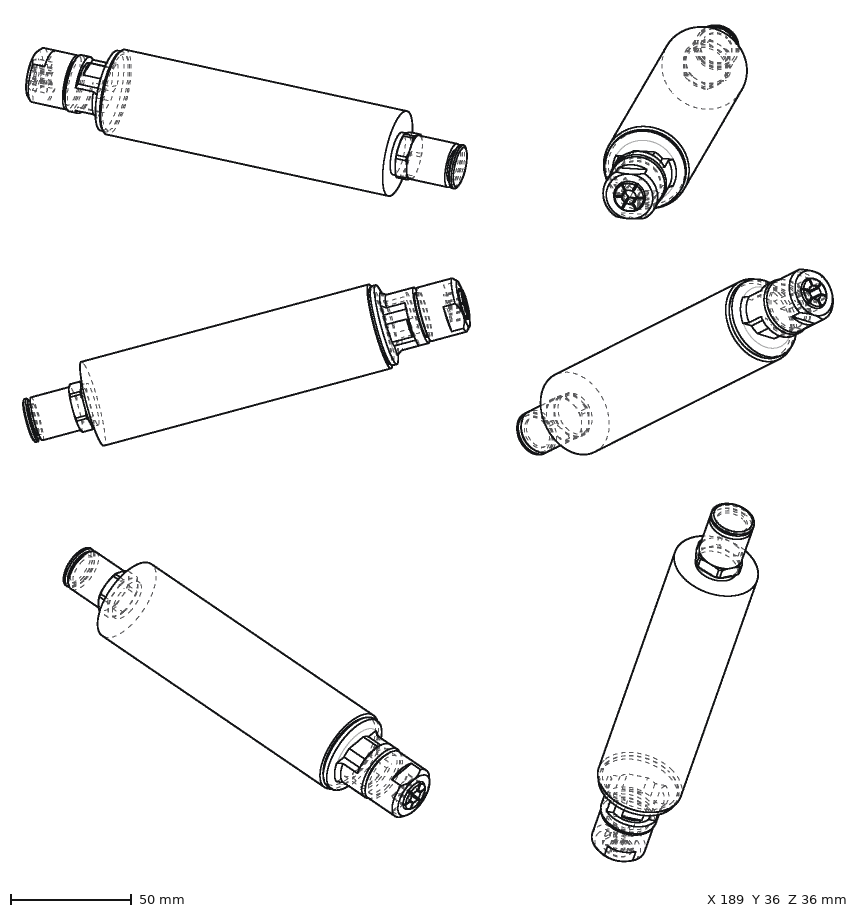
import cadquery as cq
import math

TOTAL_LENGTH = 189.0

collet_diameter = 13.2
collet_bore_diameter = 6.0
collet_depth = 7.5
collet_tip_diameter = 12.0
collet_slit_count = 6
collet_slit_width = 0.5
nut_face_x = 1.0
nut_end_x = 17.8
nut_diameter = 23.0
nut_chamfer = 1.7
nut_flat_distance = 9.8
nut_flat_end_x = 7.7

spindle_diameter = 19.0
spindle_flat_distance = 8.5
spindle_flat_start_x = 24.2
nose_start_x = 19.0
nose_diameter = 24.0
nose_step_x = 23.0
nose_half_height = 5.9
flare_start_x = 31.0
flare_diameter = 26.8

front_face_x = 33.0
cap_rim_start_x = 34.2
cap_rim_end_x = 36.0
cap_diameter = 34.0
cap_edge_diameter = 32.3
body_start_x = 37.0
body_end_x = 161.3
body_diameter = 36.0

neck_diameter = 18.0
hex_start_x = 163.6
hex_end_x = 168.7
hex_across_flats = 18.5
hex_corner_diameter = 20.5
hex_chamfer_length = 0.4
hex_chamfer_depth = 0.8
sleeve_end_x = 185.5
sleeve_diameter = 18.5
rear_groove_diameter = 13.2
collar_start_x = 186.8
collar_chamfer_length = 0.5
collar_end_diameter = 16.6


def cylinder(diameter, start_x, end_x):
    """Solid cylinder on the X axis."""
    return cq.Workplane("YZ", origin=(start_x, 0, 0)).circle(diameter / 2).extrude(end_x - start_x)


def turned(profile):
    """Solid of revolution about X from (x, diameter) stations."""
    outline = [(profile[0][0], 0)]
    outline += [(x, diameter / 2) for x, diameter in profile]
    outline += [(profile[-1][0], 0)]
    return cq.Workplane("XY").polyline(outline).close().revolve(360, (0, 0, 0), (1, 0, 0))


def slabs_beyond(distance, start_x, end_x):
    """Two blocks that fill everything above +distance and below -distance in Z."""
    size = body_diameter
    slabs = cq.Workplane("XY")
    for side in (-1, 1):
        middle = ((start_x + end_x) / 2, 0, side * (distance + size / 2))
        slabs = slabs.add(cq.Workplane("XY", origin=middle).box(end_x - start_x, size, size))
    return slabs.combine()


def make_collet():
    collet = turned([
        (0, collet_tip_diameter),
        (nut_face_x, collet_diameter),
        (nut_end_x, collet_diameter),
    ])
    collet = collet.cut(cylinder(collet_bore_diameter, 0, collet_depth))
    for i in range(collet_slit_count // 2):
        slit = cq.Workplane("XY", origin=(collet_depth / 2, 0, 0))
        slit = slit.box(collet_depth, collet_diameter, collet_slit_width)
        collet = collet.cut(slit.rotate((0, 0, 0), (1, 0, 0), i * 360 / collet_slit_count))
    return collet


def make_nut():
    nut = turned([
        (nut_face_x, nut_diameter - 2 * nut_chamfer),
        (nut_face_x + nut_chamfer, nut_diameter),
        (nut_end_x, nut_diameter),
    ])
    nut = nut.cut(slabs_beyond(nut_flat_distance, nut_face_x, nut_flat_end_x))
    return nut.cut(cylinder(collet_diameter, nut_face_x, collet_depth))


def make_spindle_nose():
    nose = turned([
        (nose_start_x, nose_diameter),
        (flare_start_x, nose_diameter),
        (front_face_x, flare_diameter),
    ])
    nose = nose.cut(slabs_beyond(nose_half_height, nose_step_x, front_face_x))
    core = cylinder(spindle_diameter, nut_end_x, front_face_x)
    core = core.cut(slabs_beyond(spindle_flat_distance, spindle_flat_start_x, front_face_x))
    return nose.union(core)


def make_body():
    return turned([
        (front_face_x, flare_diameter),
        (cap_rim_start_x, cap_diameter),
        (cap_rim_end_x, cap_diameter),
        (body_start_x, cap_edge_diameter),
        (body_start_x, body_diameter),
        (body_end_x, body_diameter),
    ])


def make_hex():
    """Hexagon with two flats facing Y and its corners turned down and chamfered."""
    across_corners = hex_across_flats / math.cos(math.radians(30))
    hexagon = cq.Workplane("YZ", origin=(hex_start_x, 0, 0)).polygon(6, across_corners)
    hexagon = hexagon.extrude(hex_end_x - hex_start_x).rotate((0, 0, 0), (1, 0, 0), 30)
    end_diameter = hex_corner_diameter - 2 * hex_chamfer_depth
    return hexagon.intersect(turned([
        (hex_start_x, end_diameter),
        (hex_start_x + hex_chamfer_length, hex_corner_diameter),
        (hex_end_x - hex_chamfer_length, hex_corner_diameter),
        (hex_end_x, end_diameter),
    ]))


def make_rear_fitting():
    fitting = turned([
        (body_end_x, neck_diameter),
        (hex_end_x, neck_diameter),
        (hex_end_x, sleeve_diameter),
        (sleeve_end_x, sleeve_diameter),
        (sleeve_end_x, rear_groove_diameter),
        (collar_start_x, rear_groove_diameter),
        (collar_start_x, collar_end_diameter),
        (collar_start_x + collar_chamfer_length, sleeve_diameter),
        (TOTAL_LENGTH - collar_chamfer_length, sleeve_diameter),
        (TOTAL_LENGTH, collar_end_diameter),
    ])
    return fitting.union(make_hex())


result = (
    make_nut()
    .union(make_collet())
    .union(make_spindle_nose())
    .union(make_body())
    .union(make_rear_fitting())
)